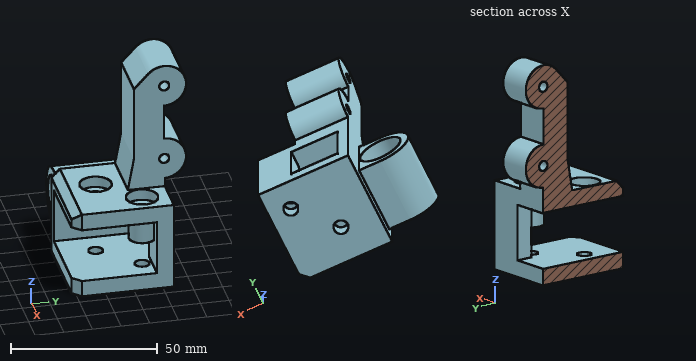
import cadquery as cq
import math

block_width = 34.0
block_depth = 35.2
plate_thickness = 6.0
slot_height = 19.6
block_height = 2 * plate_thickness + slot_height
left_wall_thickness = 3.9
rear_wall_left = 21.4
rear_wall_thickness = 6.0
edge_chamfer = 3.0

front_screw = (13.5, 12.4)
rear_screw = (26.0, 25.8)
screw_diameter = 5.0
head_diameter = 11.0
head_depth = 4.0

post_radius = rear_screw[0] - rear_wall_left
post_length = 9.4

bore_diameter = 15.2
barrel_wall = 3.0
barrel_radius = bore_diameter / 2 + barrel_wall
barrel_length = 24.0
barrel_front = 2.4
barrel_x = -8.0
barrel_z = plate_thickness + barrel_radius

total_height = 78.0
arm_width = 20.0
knuckle_radius = 7.7
knuckle_spacing = 28.0
hinge_pin_diameter = 3.4
arm_thickness = 10.6
arm_rear = 34.9
arm_front = arm_rear - arm_thickness
arm_root_front = 22.2
arm_taper_top = 43.3
upper_knuckle_z = total_height - knuckle_radius
lower_knuckle_z = upper_knuckle_z - knuckle_spacing


def box(x_range, y_range, z_range):
    """Box spanning the given (low, high) ranges."""
    size = [high - low for low, high in (x_range, y_range, z_range)]
    corner = (x_range[0], y_range[0], z_range[0])
    return cq.Workplane("XY").box(*size, centered=False).translate(corner)


def make_block():
    """Chamfered block, cut through to leave two plates, a left wall and a rear wall."""
    block = box((0, block_width), (0, block_depth), (0, block_height))
    block = block.edges("|Z and >X and <Y").chamfer(edge_chamfer)
    top_bevel = (
        cq.Workplane("YZ")
        .moveTo(0, block_height)
        .lineTo(edge_chamfer, block_height)
        .lineTo(0, block_height - edge_chamfer)
        .close()
        .extrude(block_width)
    )
    slot_z = (plate_thickness, block_height - plate_thickness)
    rear_wall_front = block_depth - rear_wall_thickness
    slot_opening = box((left_wall_thickness, rear_wall_left), (0, block_depth), slot_z)
    side_opening = box((rear_wall_left, block_width), (0, rear_wall_front), slot_z)
    return block.cut(top_bevel).cut(slot_opening).cut(side_opening)


def make_post():
    """Round post under the upper plate, concentric with the rear screw."""
    post_bottom = block_height - plate_thickness - post_length
    return (
        cq.Workplane("XY", origin=(0, 0, post_bottom))
        .center(*rear_screw)
        .circle(post_radius)
        .extrude(post_length + plate_thickness - head_depth)
    )


def make_barrel():
    """Barrel with flat webs running tangentially from its outside to the block."""
    barrel_rear = barrel_front + barrel_length
    barrel = (
        cq.Workplane("XZ", origin=(barrel_x, barrel_rear, barrel_z))
        .circle(barrel_radius)
        .extrude(barrel_length)
    )
    web = box(
        (barrel_x, 0),
        (barrel_front, barrel_rear),
        (barrel_z - barrel_radius, barrel_z + barrel_radius),
    )
    bore = (
        cq.Workplane("XZ", origin=(barrel_x, barrel_rear, barrel_z))
        .circle(bore_diameter / 2)
        .extrude(barrel_length)
    )
    return barrel.union(web).cut(bore)


def make_arm():
    """Upright arm, its top sloping tangentially onto the upper knuckle."""
    tangent_angle = math.acos(knuckle_radius / arm_thickness)
    tangent_y = arm_rear - knuckle_radius * math.cos(tangent_angle)
    tangent_z = upper_knuckle_z + knuckle_radius * math.sin(tangent_angle)
    arm = (
        cq.Workplane("YZ")
        .moveTo(arm_root_front, block_height)
        .lineTo(arm_front, arm_taper_top)
        .lineTo(arm_front, upper_knuckle_z)
        .lineTo(tangent_y, tangent_z)
        .lineTo(arm_rear, upper_knuckle_z)
        .lineTo(arm_rear, lower_knuckle_z)
        .lineTo(block_depth, lower_knuckle_z)
        .lineTo(block_depth, block_height)
        .close()
        .extrude(arm_width)
    )
    knuckle_centers = [(arm_rear, upper_knuckle_z), (arm_rear, lower_knuckle_z)]
    knuckles = cq.Workplane("YZ").pushPoints(knuckle_centers).circle(knuckle_radius).extrude(arm_width)
    pin_holes = (
        cq.Workplane("YZ").pushPoints(knuckle_centers).circle(hinge_pin_diameter / 2).extrude(arm_width)
    )
    return arm.union(knuckles).cut(pin_holes)


def make_screw_cut(center):
    """Through hole and head recess for one clamp screw."""
    hole = cq.Workplane("XY").center(*center).circle(screw_diameter / 2).extrude(block_height)
    head = (
        cq.Workplane("XY", origin=(0, 0, block_height - head_depth))
        .center(*center)
        .circle(head_diameter / 2)
        .extrude(head_depth)
    )
    return hole.union(head)


result = make_block().union(make_post()).union(make_barrel()).union(make_arm())
for screw_center in (front_screw, rear_screw):
    result = result.cut(make_screw_cut(screw_center))